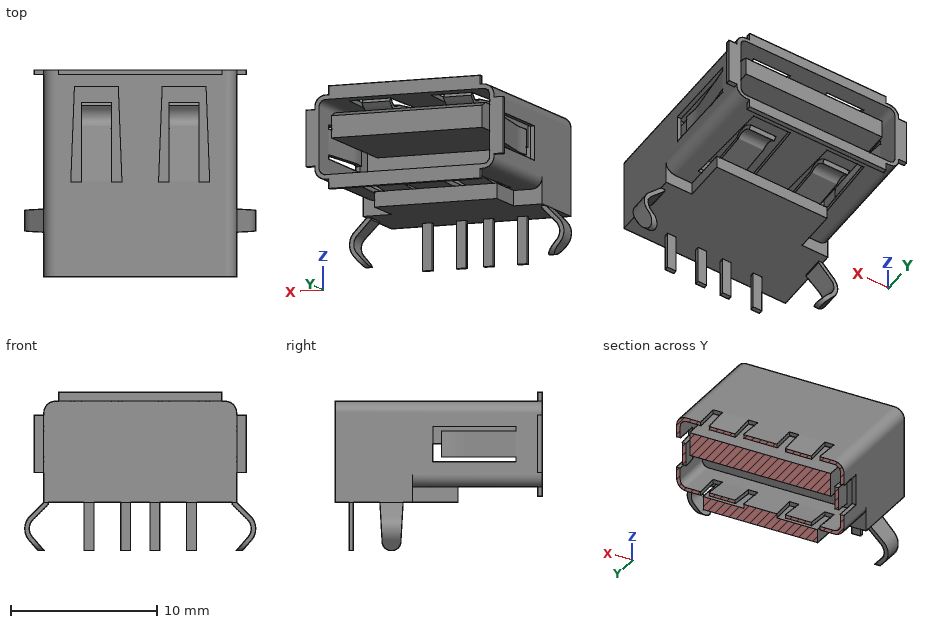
import math

import cadquery as cq


OVERLAP = 0.1

SHELL_WIDTH = 13.2
SHELL_LENGTH = 14.16
SHELL_TOP = 6.93
SHELL_BOTTOM = 1.07
SHELL_RADIUS = 0.8
SHEET = 0.32
REAR_LENGTH = 5.3
HALF_WIDTH = SHELL_WIDTH / 2
OPENING_Z = (SHELL_TOP + SHELL_BOTTOM) / 2

RIM_WIDTH = 14.5
RIM_TOP = 7.55
RIM_BOTTOM = 0.42
RIM_END_LENGTH = 11.15
RIM_SIDE_LENGTH = 3.93

TONGUE_WIDTH = 11.1
TONGUE_BOTTOM = 4.0
TONGUE_TOP = 5.84
TONGUE_END = 13.7
TONGUE_LEAD_LENGTH = 0.6
TONGUE_LEAD_DROP = 0.3
FOOT_WIDTH = 9.0
FOOT_END = 8.41

ROOF_WINDOW_X = 3.0
ROOF_WINDOW_REAR = 6.5
ROOF_WINDOW_FRONT = 13.02
ROOF_WINDOW_REAR_WIDTH = 3.5
ROOF_WINDOW_FRONT_WIDTH = 3.0
ROOF_SPRING_WIDTH = 2.05
ROOF_CREASE_Y = 10.37
ROOF_CREASE_DROP = 0.32
ROOF_CREASE_RADIUS = 0.1
ROOF_CURL_LENGTH = 1.07
ROOF_CURL_ANGLE = math.radians(41)
ROOF_LIP_LENGTH = 0.385

SIDE_WINDOW_REAR = 6.68
SIDE_WINDOW_FRONT = 12.35
SIDE_WINDOW_BOTTOM = 2.8
SIDE_WINDOW_TOP = 5.18
SIDE_SPRING_MARGIN = 0.3
SIDE_BEND_FRONT = 8.82
SIDE_BEND_REAR = 7.97
SIDE_LIP_REAR = 7.28
SIDE_ARM_ANGLE = math.radians(6.7)
SIDE_LIP_ANGLE = math.radians(5)

PIN_X = (-3.5, -1.0, 1.0, 3.5)
PIN_WIDTH = 0.7
PIN_THICKNESS = 0.3
PIN_Y = 1.1
TAIL_BOTTOM = -3.3

CLIP_Y = 3.85
CLIP_TOP_WIDTH = 1.6
CLIP_TIP_WIDTH = 1.31
CLIP_TIP_START = -2.6
CLIP_BEND_X = 6.7
CLIP_BEND_Z = -1.79
CLIP_BEND_RADIUS = 1.2
CLIP_UPPER_ANGLE = math.radians(45)
CLIP_LOWER_ANGLE = math.radians(41)


def box(x_min, x_max, y_min, y_max, z_min, z_max):
    """Axis-aligned box between the given limits."""
    size = (x_max - x_min, y_max - y_min, z_max - z_min)
    return cq.Workplane("XY").box(*size, centered=False).translate((x_min, y_min, z_min))


def centered_box(width, y_min, y_max, z_min, z_max):
    """Box centred on X = 0."""
    return box(-width / 2, width / 2, y_min, y_max, z_min, z_max)


def both_sides(feature):
    """A feature together with its mirror image across X = 0."""
    return feature.union(feature.mirror("YZ"))


def roof_and_floor(feature):
    """A roof feature together with its mirror image in the floor of the opening."""
    return feature.union(feature.mirror("XY", (0, 0, OPENING_Z)))


def make_shell():
    """Rounded tube with a closed rear block standing on the board."""
    tube = centered_box(SHELL_WIDTH, 0, SHELL_LENGTH, SHELL_BOTTOM, SHELL_TOP)
    tube = tube.edges("|Y").fillet(SHELL_RADIUS)
    rear = centered_box(SHELL_WIDTH, 0, REAR_LENGTH, 0, SHELL_TOP)
    rear = rear.edges("|Y and >Z").fillet(SHELL_RADIUS)
    cavity = centered_box(
        SHELL_WIDTH - 2 * SHEET, REAR_LENGTH, SHELL_LENGTH, SHELL_BOTTOM + SHEET, SHELL_TOP - SHEET
    )
    cavity = cavity.edges("|Y").fillet(SHELL_RADIUS - SHEET)
    return tube.union(rear).cut(cavity)


def make_rim():
    """Four flat flanges standing out from the edges of the opening."""
    rear = SHELL_LENGTH - SHEET
    top = centered_box(RIM_END_LENGTH, rear, SHELL_LENGTH, SHELL_TOP - SHEET, RIM_TOP)
    bottom = centered_box(RIM_END_LENGTH, rear, SHELL_LENGTH, RIM_BOTTOM, SHELL_BOTTOM + SHEET)
    side = box(
        HALF_WIDTH - SHEET, RIM_WIDTH / 2, rear, SHELL_LENGTH,
        OPENING_Z - RIM_SIDE_LENGTH / 2, OPENING_Z + RIM_SIDE_LENGTH / 2,
    )
    return top.union(bottom).union(both_sides(side))


def make_insulator():
    """Contact tongue with a tapered lead-in, and the foot under the shell."""
    tongue = (
        cq.Workplane("YZ")
        .moveTo(REAR_LENGTH - OVERLAP, TONGUE_BOTTOM)
        .lineTo(TONGUE_END, TONGUE_BOTTOM)
        .lineTo(TONGUE_END, TONGUE_TOP - TONGUE_LEAD_DROP)
        .lineTo(TONGUE_END - TONGUE_LEAD_LENGTH, TONGUE_TOP)
        .lineTo(REAR_LENGTH - OVERLAP, TONGUE_TOP)
        .close()
        .extrude(TONGUE_WIDTH / 2, both=True)
    )
    foot = centered_box(FOOT_WIDTH, REAR_LENGTH - OVERLAP, FOOT_END, 0, SHELL_BOTTOM)
    return tongue.union(foot)


def roof_window():
    """Tapered opening through the roof, wider towards the rear."""
    return (
        cq.Workplane("XY", origin=(ROOF_WINDOW_X, 0, SHELL_TOP - SHEET - OVERLAP))
        .moveTo(-ROOF_WINDOW_REAR_WIDTH / 2, ROOF_WINDOW_REAR)
        .lineTo(ROOF_WINDOW_REAR_WIDTH / 2, ROOF_WINDOW_REAR)
        .lineTo(ROOF_WINDOW_FRONT_WIDTH / 2, ROOF_WINDOW_FRONT)
        .lineTo(-ROOF_WINDOW_FRONT_WIDTH / 2, ROOF_WINDOW_FRONT)
        .close()
        .extrude(SHEET + 2 * OVERLAP)
    )


def roof_spring():
    """Arm sloping down from the rear of the window, then curling up to a lip."""
    sine = math.sin(ROOF_CURL_ANGLE)
    cosine = math.cos(ROOF_CURL_ANGLE)
    curl_radius = ROOF_CURL_LENGTH / 2 / sine
    curl_y = ROOF_CREASE_Y + ROOF_CURL_LENGTH / 2
    crease_z = SHELL_TOP - ROOF_CREASE_DROP
    curl_z = crease_z + curl_radius * cosine
    outer_radius = curl_radius + SHEET
    curl_end_y = ROOF_CREASE_Y + ROOF_CURL_LENGTH
    lip_y = curl_end_y + ROOF_LIP_LENGTH * cosine
    lip_z = crease_z + ROOF_LIP_LENGTH * sine
    blank = (
        cq.Workplane("YZ", origin=(ROOF_WINDOW_X, 0, 0))
        .moveTo(ROOF_WINDOW_REAR, SHELL_TOP)
        .lineTo(ROOF_CREASE_Y, crease_z)
        .threePointArc((curl_y, curl_z - curl_radius), (curl_end_y, crease_z))
        .lineTo(lip_y, lip_z)
        .lineTo(lip_y + SHEET * sine, lip_z - SHEET * cosine)
        .lineTo(curl_y + outer_radius * sine, curl_z - outer_radius * cosine)
        .threePointArc(
            (curl_y, curl_z - outer_radius),
            (curl_y - outer_radius * sine, curl_z - outer_radius * cosine),
        )
        .lineTo(ROOF_WINDOW_REAR, SHELL_TOP - SHEET)
        .lineTo(ROOF_WINDOW_REAR - OVERLAP, SHELL_TOP - SHEET)
        .lineTo(ROOF_WINDOW_REAR - OVERLAP, SHELL_TOP)
        .close()
        .extrude(ROOF_SPRING_WIDTH / 2, both=True)
    )
    crease = cq.selectors.NearestToPointSelector((ROOF_WINDOW_X, ROOF_CREASE_Y, crease_z))
    return blank.edges(crease).fillet(ROOF_CREASE_RADIUS)


def side_window():
    """Rectangular opening through one side wall."""
    return box(
        HALF_WIDTH - SHEET - OVERLAP, HALF_WIDTH + OVERLAP, SIDE_WINDOW_REAR, SIDE_WINDOW_FRONT,
        SIDE_WINDOW_BOTTOM, SIDE_WINDOW_TOP,
    )


def side_spring():
    """Arm leaning inwards from the front of the window, its rear lip bent outwards."""
    sine_sum = math.sin(SIDE_ARM_ANGLE) + math.sin(SIDE_LIP_ANGLE)
    bend_radius = (SIDE_BEND_FRONT - SIDE_BEND_REAR) / sine_sum
    bend_y = SIDE_BEND_FRONT - bend_radius * math.sin(SIDE_ARM_ANGLE)
    arm_x = HALF_WIDTH - (SIDE_WINDOW_FRONT - SIDE_BEND_FRONT) * math.tan(SIDE_ARM_ANGLE)
    bend_x = arm_x + bend_radius * math.cos(SIDE_ARM_ANGLE)
    lip_run = SIDE_BEND_REAR - SIDE_LIP_REAR

    def on_bend(radius, angle):
        """Point on the bend, with the angle measured from its innermost point towards +Y."""
        return bend_x - radius * math.cos(angle), bend_y + radius * math.sin(angle)

    inner_radius = bend_radius + SHEET
    lip_x = on_bend(bend_radius, -SIDE_LIP_ANGLE)[0] + lip_run * math.tan(SIDE_LIP_ANGLE)
    lip_inner_x = lip_x - SHEET * math.cos(SIDE_LIP_ANGLE)
    lip_inner_y = SIDE_LIP_REAR - SHEET * math.sin(SIDE_LIP_ANGLE)
    root_y = SIDE_WINDOW_FRONT + OVERLAP
    return (
        cq.Workplane("XY", origin=(0, 0, SIDE_WINDOW_BOTTOM + SIDE_SPRING_MARGIN))
        .moveTo(HALF_WIDTH, SIDE_WINDOW_FRONT)
        .lineTo(*on_bend(bend_radius, SIDE_ARM_ANGLE))
        .threePointArc(on_bend(bend_radius, 0), on_bend(bend_radius, -SIDE_LIP_ANGLE))
        .lineTo(lip_x, SIDE_LIP_REAR)
        .lineTo(lip_inner_x, lip_inner_y)
        .lineTo(*on_bend(inner_radius, -SIDE_LIP_ANGLE))
        .threePointArc(on_bend(inner_radius, 0), on_bend(inner_radius, SIDE_ARM_ANGLE))
        .lineTo(HALF_WIDTH - SHEET, SIDE_WINDOW_FRONT)
        .lineTo(HALF_WIDTH - SHEET, root_y)
        .lineTo(HALF_WIDTH, root_y)
        .close()
        .extrude(SIDE_WINDOW_TOP - SIDE_WINDOW_BOTTOM - 2 * SIDE_SPRING_MARGIN)
    )


def make_pins():
    """Row of flat contact pins below the rear block."""
    pins = cq.Workplane("XY")
    for x in PIN_X:
        pin = box(
            x - PIN_WIDTH / 2, x + PIN_WIDTH / 2,
            PIN_Y - PIN_THICKNESS / 2, PIN_Y + PIN_THICKNESS / 2, TAIL_BOTTOM, OVERLAP,
        )
        pins = pins.union(pin)
    return pins


def board_clip():
    """Bowed clip with a tapered width and a rounded tip."""
    inner_radius = CLIP_BEND_RADIUS - SHEET
    wall_inside = HALF_WIDTH - SHEET

    def on_bend(radius, angle):
        """Point on the bend, with the angle measured upwards from its outermost point."""
        return CLIP_BEND_X + radius * math.cos(angle), CLIP_BEND_Z + radius * math.sin(angle)

    def upper_end(radius, x):
        """Point at the given X on the upper straight that leaves the bend."""
        start_x, start_z = on_bend(radius, CLIP_UPPER_ANGLE)
        return x, start_z + (start_x - x) / math.tan(CLIP_UPPER_ANGLE)

    def lower_end(radius):
        """Point at the clip bottom on the lower straight that leaves the bend."""
        start_x, start_z = on_bend(radius, -CLIP_LOWER_ANGLE)
        return start_x - (start_z - TAIL_BOTTOM) * math.tan(CLIP_LOWER_ANGLE), TAIL_BOTTOM

    bow = (
        cq.Workplane("XZ")
        .moveTo(*upper_end(CLIP_BEND_RADIUS, HALF_WIDTH))
        .lineTo(*on_bend(CLIP_BEND_RADIUS, CLIP_UPPER_ANGLE))
        .threePointArc(on_bend(CLIP_BEND_RADIUS, 0), on_bend(CLIP_BEND_RADIUS, -CLIP_LOWER_ANGLE))
        .lineTo(*lower_end(CLIP_BEND_RADIUS))
        .lineTo(*lower_end(inner_radius))
        .lineTo(*on_bend(inner_radius, -CLIP_LOWER_ANGLE))
        .threePointArc(on_bend(inner_radius, 0), on_bend(inner_radius, CLIP_UPPER_ANGLE))
        .lineTo(*upper_end(inner_radius, wall_inside))
        .lineTo(wall_inside, OVERLAP)
        .lineTo(HALF_WIDTH, OVERLAP)
        .close()
        .extrude(-SHELL_LENGTH)
    )
    outline = (
        cq.Workplane("YZ")
        .moveTo(CLIP_Y - CLIP_TOP_WIDTH / 2, OVERLAP)
        .lineTo(CLIP_Y - CLIP_TOP_WIDTH / 2, 0)
        .lineTo(CLIP_Y - CLIP_TIP_WIDTH / 2, CLIP_TIP_START)
        .threePointArc((CLIP_Y, TAIL_BOTTOM), (CLIP_Y + CLIP_TIP_WIDTH / 2, CLIP_TIP_START))
        .lineTo(CLIP_Y + CLIP_TOP_WIDTH / 2, 0)
        .lineTo(CLIP_Y + CLIP_TOP_WIDTH / 2, OVERLAP)
        .close()
        .extrude(SHELL_WIDTH)
    )
    return bow.intersect(outline)


windows = roof_and_floor(both_sides(roof_window())).union(both_sides(side_window()))
springs = roof_and_floor(both_sides(roof_spring())).union(both_sides(side_spring()))

result = (
    make_shell()
    .union(make_rim())
    .cut(windows)
    .union(springs)
    .union(make_insulator())
    .union(make_pins())
    .union(both_sides(board_clip()))
)